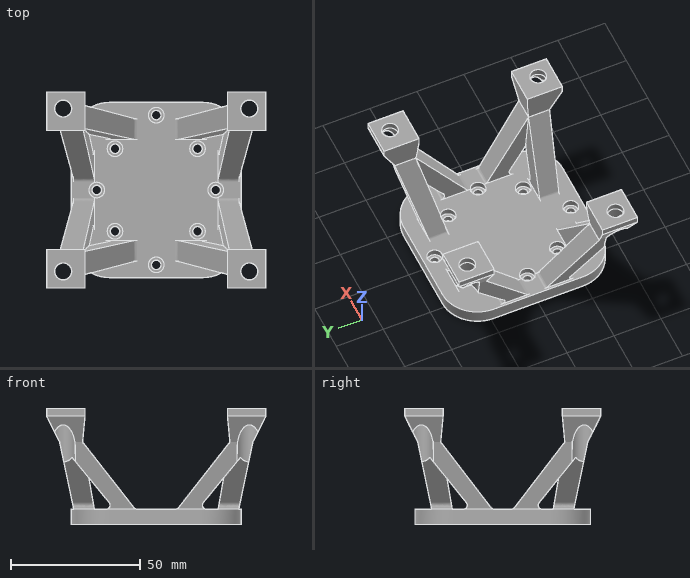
import cadquery as cq

PLATE_X = 66.0
PLATE_Y = 68.0
PLATE_THICKNESS = 5.95
PLATE_CORNER_RADIUS = 15.0

SCREW_DIAMETER = 3.6
COUNTERBORE_DIAMETER = 6.0
COUNTERBORE_DEPTH = 3.0
SIDE_HOLE_X = 23.0
SIDE_HOLE_Y = 29.0
CORNER_HOLE_OFFSET = 16.0

TOTAL_X = 85.0
TOTAL_Y = 76.0
TOTAL_HEIGHT = 45.0
PAD_SIDE = 15.0
PAD_THICKNESS = 3.0
PAD_X = (TOTAL_X - PAD_SIDE) / 2
PAD_Y = (TOTAL_Y - PAD_SIDE) / 2
PAD_BOTTOM = TOTAL_HEIGHT - PAD_THICKNESS

PAD_HOLE_DIAMETER = 6.5
CLEARANCE_DIAMETER = 9.5
PAD_HOLE_SHIFT = 1.0
PAD_HOLE_X = PAD_X + PAD_HOLE_SHIFT
PAD_HOLE_Y = PAD_Y + PAD_HOLE_SHIFT

NECK_SIDE = 9.0
NECK_X = PLATE_X / 2
NECK_Y = 28.5
NECK_Z = 32.0

FOOT_SIDE = 8.1
X_LEG_FOOT = (12.15, 23.55)
Y_LEG_FOOT = (28.0, 8.1)
FOOT_FILLET = 1.5
SELECTION_MARGIN = 0.1


def tapered_bar(lower_center, lower_side, lower_z, upper_center, upper_side, upper_z):
    """Straight loft between two horizontal squares."""
    return (
        cq.Workplane("XY", origin=(*lower_center, lower_z))
        .rect(lower_side, lower_side)
        .workplane(offset=upper_z - lower_z, origin=(*upper_center, lower_z))
        .rect(upper_side, upper_side)
        .loft(ruled=True)
    )


def make_plate():
    return (
        cq.Workplane("XY")
        .box(PLATE_X, PLATE_Y, PLATE_THICKNESS, centered=(True, True, False))
        .edges("|Z")
        .fillet(PLATE_CORNER_RADIUS)
    )


def make_leg(foot_center):
    return tapered_bar(foot_center, FOOT_SIDE, PLATE_THICKNESS, (NECK_X, NECK_Y), NECK_SIDE, NECK_Z)


def foot_edges(body, foot_center, direction):
    """The two edges of a foot that lie along the given axis on the plate."""
    x, y = foot_center
    reach = FOOT_SIDE / 2 + SELECTION_MARGIN
    box = cq.selectors.BoxSelector(
        (x - reach, y - reach, PLATE_THICKNESS - SELECTION_MARGIN),
        (x + reach, y + reach, PLATE_THICKNESS + SELECTION_MARGIN),
    )
    return body.edges(box).edges("|" + direction)


def make_head():
    neck = tapered_bar((NECK_X, NECK_Y), NECK_SIDE, NECK_Z, (PAD_X, PAD_Y), PAD_SIDE, PAD_BOTTOM)
    pad = (
        cq.Workplane("XY", origin=(PAD_X, PAD_Y, PAD_BOTTOM))
        .rect(PAD_SIDE, PAD_SIDE)
        .extrude(PAD_THICKNESS)
    )
    return neck.union(pad)


def make_quarter():
    """The +X +Y quarter of the plate with its support."""
    quadrant = (
        cq.Workplane("XY")
        .rect(PLATE_X / 2, PLATE_Y / 2, centered=False)
        .extrude(PLATE_THICKNESS)
    )
    body = make_plate().intersect(quadrant)
    body = body.union(make_leg(X_LEG_FOOT)).union(make_leg(Y_LEG_FOOT))
    body = foot_edges(body, X_LEG_FOOT, "Y").fillet(FOOT_FILLET)
    body = foot_edges(body, Y_LEG_FOOT, "X").fillet(FOOT_FILLET)
    body = body.union(make_head())

    hole_center = cq.Workplane("XY", origin=(PAD_HOLE_X, PAD_HOLE_Y, PAD_BOTTOM))
    pad_hole = hole_center.circle(PAD_HOLE_DIAMETER / 2).extrude(PAD_THICKNESS)
    clearance = hole_center.circle(CLEARANCE_DIAMETER / 2).extrude(PLATE_THICKNESS - PAD_BOTTOM)
    return body.cut(pad_hole).cut(clearance)


def drill_plate(body):
    centers = [(0, SIDE_HOLE_Y), (0, -SIDE_HOLE_Y), (SIDE_HOLE_X, 0), (-SIDE_HOLE_X, 0)]
    for x_sign in (1, -1):
        for y_sign in (1, -1):
            centers.append((x_sign * CORNER_HOLE_OFFSET, y_sign * CORNER_HOLE_OFFSET))
    plate_top = cq.Workplane("XY", origin=(0, 0, PLATE_THICKNESS)).pushPoints(centers)
    screws = plate_top.circle(SCREW_DIAMETER / 2).extrude(-PLATE_THICKNESS)
    counterbores = plate_top.circle(COUNTERBORE_DIAMETER / 2).extrude(-COUNTERBORE_DEPTH)
    return body.cut(screws).cut(counterbores)


quarter = make_quarter()
half = quarter.union(quarter.mirror("YZ"))
frame = half.union(half.mirror("XZ")).clean()
result = drill_plate(frame)